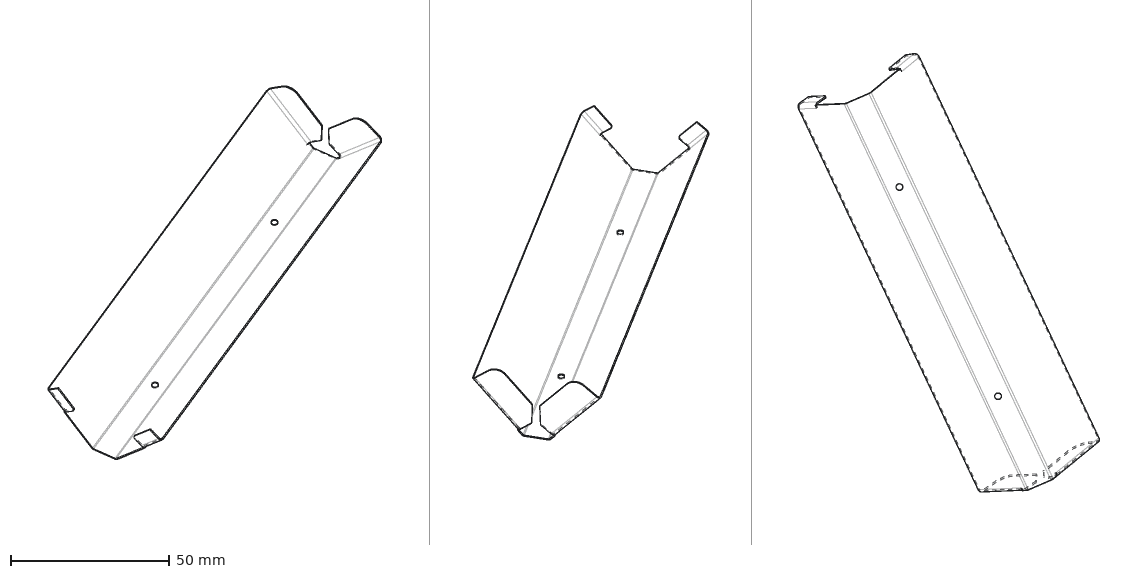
import cadquery as cq
import math

length = 141.3
width = 42.0
sheet = 0.5

floor_half_width = 4.4
wall_angle = 50.0
trough_bend_radius = 0.5
end_setback = 0.4
wall_length = (width / 2 - floor_half_width) / math.cos(math.radians(wall_angle))

tab_bend_outer = 1.48
tab_bend_inner = tab_bend_outer - sheet
rear_tab_start = 2.7
rear_tab_height = 11.0
rear_tab_shoulder_along = 8.2
rear_tab_shoulder_height = 6.1
rear_tab_corner_radius = 4.0
front_tab_start = wall_length - 9.6
front_tab_height = 5.5
front_tab_corner_radius = 1.0

hole_diameter = 2.1
hole_spacing = 76.0

half_length = length / 2


def place_on_right_wall(body):
    """Local X runs up the wall, local Z points into the trough."""
    return body.rotate((0, 0, 0), (0, 1, 0), -wall_angle).translate((floor_half_width, 0, 0))


def make_trough():
    angle = math.radians(wall_angle)
    tip = (width / 2, wall_length * math.sin(angle))
    inner_tip = (tip[0] - sheet * math.sin(angle), tip[1] + sheet * math.cos(angle))
    inner_half_width = floor_half_width - sheet * math.tan(angle / 2)
    trough_length = length - 2 * end_setback
    trough = (
        cq.Workplane("XZ")
        .moveTo(-floor_half_width, 0)
        .lineTo(floor_half_width, 0)
        .lineTo(*tip)
        .lineTo(*inner_tip)
        .lineTo(inner_half_width, sheet)
        .lineTo(-inner_half_width, sheet)
        .lineTo(-inner_tip[0], inner_tip[1])
        .lineTo(-tip[0], tip[1])
        .close()
        .extrude(trough_length / 2, both=True)
    )
    for z, x, radius in (
        (0, floor_half_width, trough_bend_radius + sheet),
        (sheet, inner_half_width, trough_bend_radius),
    ):
        for side in (-1, 1):
            corner = cq.selectors.NearestToPointSelector((side * x, 0, z))
            trough = trough.edges("|Y").edges(corner).fillet(radius)
    return trough


def make_bent_strip(start, height):
    """Strip turning from the wall into an end tab at the +Y end."""
    bend_start = half_length - tab_bend_outer
    diagonal = math.sqrt(0.5)
    outer_mid = (bend_start + tab_bend_outer * diagonal, tab_bend_outer * (1 - diagonal))
    inner_mid = (bend_start + tab_bend_inner * diagonal, tab_bend_outer - tab_bend_inner * diagonal)
    return (
        cq.Workplane("YZ", origin=(start, 0, 0))
        .moveTo(bend_start, 0)
        .threePointArc(outer_mid, (half_length, tab_bend_outer))
        .lineTo(half_length, height)
        .lineTo(half_length - sheet, height)
        .lineTo(half_length - sheet, tab_bend_outer)
        .threePointArc(inner_mid, (bend_start, sheet))
        .close()
        .extrude(wall_length - start)
    )


def make_rear_tab():
    tab = make_bent_strip(rear_tab_start, rear_tab_height)
    tab = tab.edges("|Y and >X and >Z").fillet(rear_tab_corner_radius)
    shoulder = (
        cq.Workplane("XZ")
        .moveTo(rear_tab_start, rear_tab_shoulder_height)
        .lineTo(rear_tab_shoulder_along, rear_tab_height)
        .lineTo(rear_tab_start, rear_tab_height)
        .close()
        .extrude(-length)
    )
    return tab.cut(shoulder)


def make_front_tab():
    tab = make_bent_strip(front_tab_start, front_tab_height)
    tab = tab.edges("|Y and <X and >Z").fillet(front_tab_corner_radius)
    return tab.mirror("XZ")


def make_bend_clearance(start, end_sign):
    """Flat wall material that a tab bend replaces."""
    along = wall_length - start
    center = (start + along / 2, end_sign * (half_length - tab_bend_outer / 2))
    return cq.Workplane("XY").center(*center).box(along, tab_bend_outer, 2 * sheet)


def add_on_both_walls(body, clearance, tab):
    right_clearance = place_on_right_wall(clearance)
    right_tab = place_on_right_wall(tab)
    body = body.cut(right_clearance).cut(right_clearance.mirror("YZ"))
    return body.union(right_tab).union(right_tab.mirror("YZ"))


result = make_trough()
result = add_on_both_walls(result, make_bend_clearance(rear_tab_start, 1), make_rear_tab())
result = add_on_both_walls(result, make_bend_clearance(front_tab_start, -1), make_front_tab())

holes = (
    cq.Workplane("XY")
    .pushPoints([(0, -hole_spacing / 2), (0, hole_spacing / 2)])
    .circle(hole_diameter / 2)
    .extrude(sheet)
)
result = result.cut(holes)